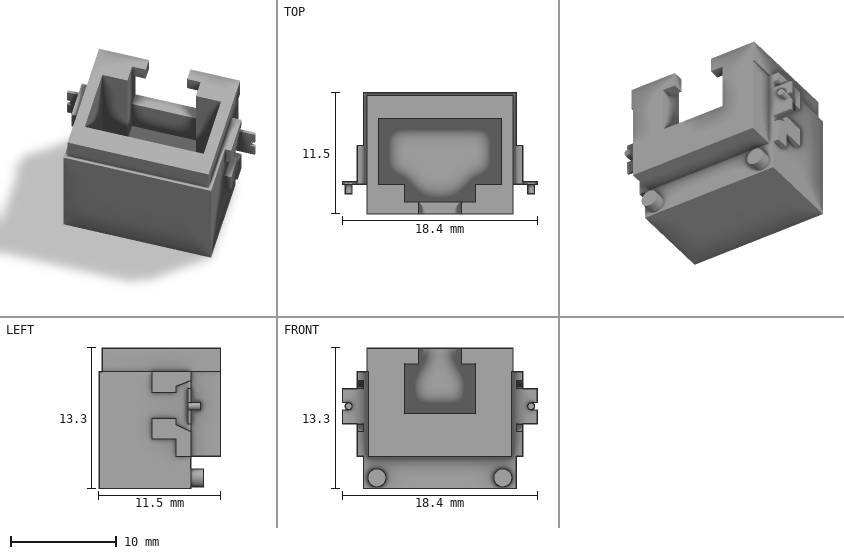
import cadquery as cq

overall_width = 18.44
overall_depth = 11.49
overall_height = 13.3

shell_half_width = 7.23
shell_front = 2.82
shell_top = 11.06
panel_half_width = 6.75
panel_bottom = 3.06
top_half_width = 6.92
top_back = 11.21

cavity_half_width = 5.83
cavity_back = 9.04
cavity_floor = 3.47
channel_half_width = 3.35
front_wall = 1.16
window_sill = 7.1
lip_bottom = 11.8
lip_gap_half_width = 2.03

block_half_width = 7.84
block_back = 6.51
block_step = 4.22
block_height = 1.97
lower_block_bottom = 4.68
lower_block_top = lower_block_bottom + block_height
upper_block_bottom = shell_top - block_height
notch_rise = 0.59
upper_ramp_front = 10.23
lower_ramp_front = 5.4

plate_thickness = 0.25
plate_height = 3.32
plate_center = 7.8
plate_back = shell_front + plate_thickness
pin_x = 8.63
pin_radius = 0.33
pin_front = 1.92

peg_x = 5.95
peg_z = 1.03
peg_radius = 0.857
peg_front = 1.6


def centered_box(half_width, y_range, z_range):
    """Box symmetric about X = 0 between the given Y and Z limits."""
    depth = y_range[1] - y_range[0]
    height = z_range[1] - z_range[0]
    box = cq.Workplane("XY").box(2 * half_width, depth, height, centered=(True, False, False))
    return box.translate((0, y_range[0], z_range[0]))


def y_cylinder(x, z, radius, y_start, y_end):
    """Cylinder along Y between two Y positions."""
    profile = cq.Workplane("XZ", origin=(x, y_start, z)).circle(radius)
    return profile.extrude(y_start - y_end)


def side_profile(points):
    """Prism symmetric about X = 0, as wide as the retaining blocks, from Y-Z points."""
    return cq.Workplane("YZ").polyline(points).close().extrude(block_half_width, both=True)


def make_housing():
    shell = centered_box(shell_half_width, (shell_front, overall_depth), (0, shell_top))
    panel = centered_box(panel_half_width, (0, shell_front), (panel_bottom, shell_top))
    raised_top = centered_box(top_half_width, (0, top_back), (shell_top, overall_height))
    return shell.union(panel).union(raised_top)


def make_retaining_blocks():
    """Upper and lower stepped blocks, reaching both sides of the shell."""
    upper = side_profile([
        (shell_front, shell_top),
        (block_back, shell_top),
        (block_back, upper_block_bottom),
        (block_step, upper_block_bottom),
        (block_step, upper_block_bottom + notch_rise),
        (shell_front, upper_ramp_front),
    ])
    lower = side_profile([
        (shell_front, panel_bottom),
        (block_step, panel_bottom),
        (block_step, lower_block_bottom),
        (block_back, lower_block_bottom),
        (block_back, lower_block_top),
        (block_step, lower_block_top),
        (block_step, lower_block_top - notch_rise),
        (shell_front, lower_ramp_front),
    ])
    return upper.union(lower)


def make_mounting_plates():
    """Slotted plates on both sides, each with a pin seated in its slot."""
    plate_z = (plate_center - plate_height / 2, plate_center + plate_height / 2)
    plates = centered_box(overall_width / 2, (shell_front, plate_back), plate_z)
    slot_length = overall_width / 2 - pin_x
    for side in (-1, 1):
        slot = cq.Workplane("XY").box(slot_length, plate_thickness, 2 * pin_radius)
        slot_x = side * (pin_x + slot_length / 2)
        slot_y = shell_front + plate_thickness / 2
        plates = plates.cut(slot.translate((slot_x, slot_y, plate_center)))
        plates = plates.union(y_cylinder(side * pin_x, plate_center, pin_radius, pin_front, plate_back))
    return plates


def make_pegs():
    left = y_cylinder(-peg_x, peg_z, peg_radius, peg_front, shell_front)
    right = y_cylinder(peg_x, peg_z, peg_radius, peg_front, shell_front)
    return left.union(right)


def make_opening():
    """Cavity, front channel, window through the front wall and gap between the lips."""
    cavity = centered_box(cavity_half_width, (shell_front, cavity_back), (cavity_floor, overall_height))
    channel = centered_box(channel_half_width, (front_wall, shell_front), (cavity_floor, overall_height))
    window = centered_box(channel_half_width, (0, front_wall), (window_sill, lip_bottom))
    lip_gap = centered_box(lip_gap_half_width, (0, front_wall), (lip_bottom, overall_height))
    return cavity.union(channel).union(window).union(lip_gap)


result = (
    make_housing()
    .union(make_retaining_blocks())
    .union(make_mounting_plates())
    .union(make_pegs())
    .cut(make_opening())
)